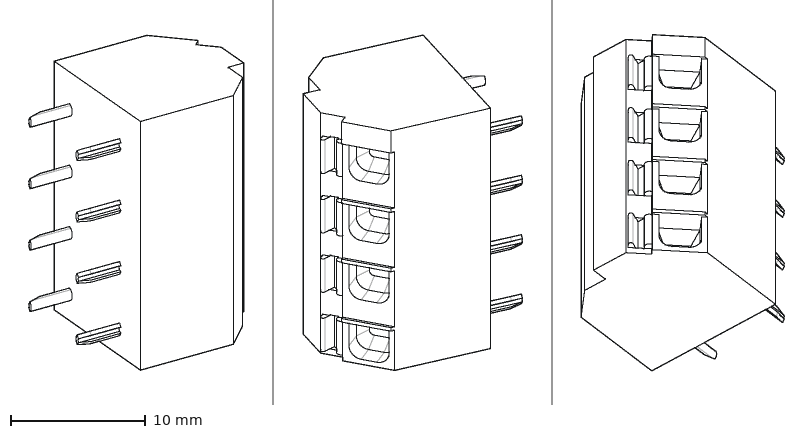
import cadquery as cq
import math

width = 12.0
length = 20.55
shoulder = 8.14
crown = 11.73
peak_x = 2.75
notch_depth = 0.51
crown_end = 7.77
ledge = 10.35

poles = 4
pitch = 5.08
first_pole_z = 2.18
pole_top = 1.25
recess_length = 4.77
recess_drop = 0.3

funnel_high_y = 10.38
funnel_low_y = 8.14
funnel_length = 3.0
funnel_corner = 0.97
straight_depth = 1.56
taper_depth = 1.23
taper_angle = 24.6

lever_length = 2.85
lever_gap = 0.06
tip_x = 4.1
tip_y = 11.78
tip_radius = 0.18
lean_angle = 20.0
pocket_floor = 10.75
hump_left = 2.92
hump_crest_x = 3.06
hump_crest_y = 10.95

pin_length = 3.6
pin_point = 0.99
pin_outer_radius = 0.55
pin_inner_radius = 0.25
pin_axis_x = 1.97
pin_mirror_x = 5.63
pin_back_angle = 53.0
pin_groove_angle = 42.0
pin_lip_z = 0.25
pin_face_tilt = 33.0
pin_point_cut = 0.23

peak_y = shoulder + peak_x
notch_x = peak_x + notch_depth
notch_y = peak_y - notch_depth
crown_start = notch_x + crown - notch_y


def bar(profile, low_z, height):
    """Carry a closed XY profile along Z from low_z."""
    return profile.extrude(height).translate((0, 0, low_z))


def make_housing():
    profile = (
        cq.Workplane("XY")
        .lineTo(width, 0)
        .lineTo(width, shoulder)
        .lineTo(width - (ledge - shoulder), ledge)
        .lineTo(crown_end, ledge)
        .lineTo(crown_end, crown)
        .lineTo(crown_start, crown)
        .lineTo(notch_x, notch_y)
        .lineTo(peak_x, peak_y)
        .lineTo(0, shoulder)
        .close()
    )
    return bar(profile, 0, length)


def make_recess(top_z):
    """Layer taken off the chamfer, from the side wall to the notch."""
    low_z = max(top_z - recess_length, 0)
    shift = recess_drop / 2
    profile = cq.Workplane("XY").polyline([
        (0, shoulder - recess_drop),
        (peak_x + shift, peak_y - shift),
        (peak_x, peak_y),
        (0, shoulder),
    ]).close()
    return bar(profile, low_z, top_z - low_z)


def make_funnel(top_z):
    """Slot with two rounded corners, straight at first and then tapering."""
    mid_y = (funnel_high_y + funnel_low_y) / 2
    mid_x = mid_y - shoulder + recess_drop
    slot_width = (funnel_high_y - funnel_low_y) * math.sqrt(2)
    half = slot_width / 2
    bend = funnel_corner * (1 - math.sqrt(0.5))
    mouth = cq.Plane(origin=(mid_x, mid_y, top_z), xDir=(1, 1, 0), normal=(1, -1, 0))

    def outline(plane):
        return (
            cq.Workplane(plane)
            .moveTo(-half, 0)
            .lineTo(half, 0)
            .lineTo(half, funnel_corner - funnel_length)
            .threePointArc((half - bend, bend - funnel_length), (half - funnel_corner, -funnel_length))
            .lineTo(funnel_corner - half, -funnel_length)
            .threePointArc((bend - half, bend - funnel_length), (-half, funnel_corner - funnel_length))
            .close()
        )

    throat = cq.Plane(
        origin=mouth.toWorldCoords((0, 0, straight_depth)), xDir=mouth.xDir, normal=mouth.zDir
    )
    straight = outline(mouth).extrude(straight_depth)
    return straight.union(outline(throat).extrude(taper_depth, taper=taper_angle))


lean = math.radians(lean_angle)
lever_side = (tip_x - tip_radius * math.cos(lean), tip_y - tip_radius * math.sin(lean))
lever_foot = (lever_side[0] + (lever_side[1] - pocket_floor) * math.tan(lean), pocket_floor)
notch_offset = notch_y - notch_x
hump_right = (pocket_floor - notch_offset, pocket_floor)


def make_pocket(low_z, height):
    """Undercut behind the notch slope, ending at the leaning side of the lever."""
    profile = cq.Workplane("XY").polyline([hump_right, lever_foot, lever_side]).close()
    return bar(profile, low_z, height)


def make_lever(low_z):
    diagonal = tip_radius * math.sqrt(0.5)
    back_run = 2 * tip_radius
    profile = (
        cq.Workplane("XY")
        .moveTo(*lever_foot)
        .lineTo(*lever_side)
        .threePointArc((tip_x, tip_y + tip_radius), (tip_x + diagonal, tip_y + diagonal))
        .lineTo(tip_x + diagonal + back_run, tip_y + diagonal - back_run)
        .close()
    )
    return bar(profile, low_z, lever_length)


def make_hump(low_z):
    profile = (
        cq.Workplane("XY")
        .moveTo(notch_x, notch_y)
        .lineTo(hump_left, pocket_floor)
        .threePointArc((hump_crest_x, hump_crest_y), hump_right)
        .close()
    )
    return bar(profile, low_z, lever_length)


def make_point_cut(side):
    """Wedge that slopes one lip's end face inward toward the tip; side is +1 or -1 in Z."""
    tilt = math.radians(pin_face_tilt)
    outward = cq.Vector(-math.cos(tilt), 0, side * math.sin(tilt))
    face = cq.Plane(
        origin=(pin_axis_x, pin_point - pin_length, side * pin_lip_z),
        xDir=outward,
        normal=outward.cross(cq.Vector(0, 1, 0)),
    )
    return (
        cq.Workplane(face)
        .polyline([(0, 0), (0, -pin_point), (-pin_point_cut, -pin_point)])
        .close()
        .extrude(pin_outer_radius, both=True)
    )


def make_pin_pair():
    """Channel pin open toward -X, and its mirror image, centred on Z = 0."""
    tilt = math.radians(pin_face_tilt)
    groove = math.radians(pin_groove_angle)
    floor_x = pin_inner_radius * math.cos(groove)
    floor_z = pin_inner_radius * math.sin(groove)
    back = math.radians(pin_back_angle)
    back_x = pin_outer_radius * math.cos(back)
    back_z = pin_outer_radius * math.sin(back)
    along = math.sqrt(pin_outer_radius**2 - (pin_lip_z * math.sin(tilt)) ** 2) - pin_lip_z * math.cos(tilt)
    outer_x = along * math.sin(tilt)
    outer_z = pin_lip_z + along * math.cos(tilt)
    pin = (
        cq.Workplane("XZ", origin=(pin_axis_x, 0, 0))
        .moveTo(0, pin_lip_z)
        .lineTo(outer_x, outer_z)
        .lineTo(back_x, back_z)
        .threePointArc((pin_outer_radius, 0), (back_x, -back_z))
        .lineTo(outer_x, -outer_z)
        .lineTo(0, -pin_lip_z)
        .lineTo(floor_x, -floor_z)
        .threePointArc((pin_inner_radius, 0), (floor_x, floor_z))
        .close()
        .extrude(pin_length)
    )
    pin = pin.cut(make_point_cut(1)).cut(make_point_cut(-1))
    return pin.union(pin.mirror("YZ", (pin_mirror_x, 0, 0)))


result = make_housing()
pin_pair = make_pin_pair()
for pole in range(poles):
    pole_z = first_pole_z + pole * pitch
    top_z = pole_z + pole_top
    lever_z = top_z - lever_gap - lever_length
    result = result.cut(make_recess(top_z)).cut(make_funnel(top_z))
    result = result.cut(make_pocket(lever_z, lever_length + lever_gap))
    result = result.union(make_lever(lever_z)).union(make_hump(lever_z))
    result = result.union(pin_pair.translate((0, 0, pole_z)))